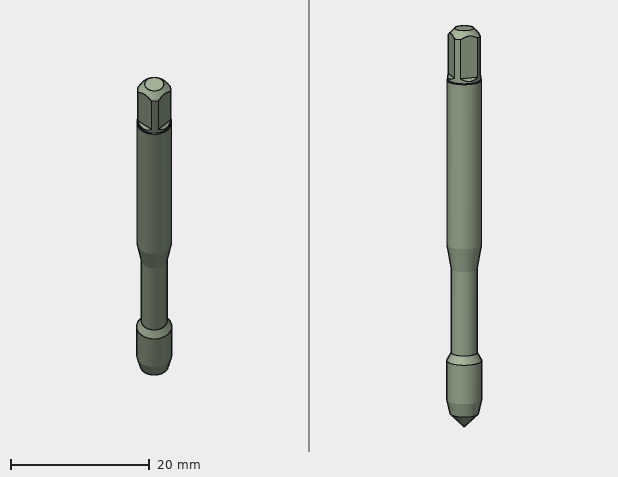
import cadquery as cq

total_length = 59.8

head_diameter = 5.1
point_diameter = 4.1
point_height = point_diameter / 2
lead_top = 4.1
head_top = 10.0

shoulder_top = 11.2
neck_diameter = 3.75
neck_top = 23.75
shank_diameter = 5.0
shank_bottom = 27.3
shank_top = 52.0

drive_diameter = 4.8
drive_bottom = 52.15
across_flats = 4.0
flat_bottom = 52.85
runout_bottom = 52.45
end_diameter = 2.75
end_chamfer_height = 1.1
flat_angles = (0, 90, 180, 270)


def revolve_profile(points):
    """Turn a closed (radius, height) outline about the Z axis."""
    return cq.Workplane("XZ").polyline(points).close().revolve(360, (0, 0), (0, 1))


def make_head():
    """Point, lead taper and cylinder of the threaded head."""
    return revolve_profile([
        (0, 0),
        (point_diameter / 2, point_height),
        (head_diameter / 2, lead_top),
        (head_diameter / 2, head_top),
        (0, head_top),
    ])


def make_turned_shank():
    """Shoulder cone, neck, taper, shank and the round blank of the drive."""
    return revolve_profile([
        (0, head_top),
        (head_diameter / 2, head_top),
        (neck_diameter / 2, shoulder_top),
        (neck_diameter / 2, neck_top),
        (shank_diameter / 2, shank_bottom),
        (shank_diameter / 2, shank_top),
        (drive_diameter / 2, drive_bottom),
        (drive_diameter / 2, total_length - end_chamfer_height),
        (end_diameter / 2, total_length),
        (0, total_length),
    ])


def make_flat_cutter():
    """Material beyond the +X flat, with a sloping run-out at its lower end."""
    flat_distance = across_flats / 2
    drive_radius = drive_diameter / 2
    outside = drive_diameter
    return (
        cq.Workplane("XZ")
        .polyline([
            (flat_distance, total_length),
            (flat_distance, flat_bottom),
            (drive_radius, runout_bottom),
            (outside, runout_bottom),
            (outside, total_length),
        ])
        .close()
        .extrude(drive_radius, both=True)
    )


def make_shank():
    """Turned shank with four flats cut on its upper end."""
    shank = make_turned_shank()
    cutter = make_flat_cutter()
    for angle in flat_angles:
        shank = shank.cut(cutter.rotate((0, 0, 0), (0, 0, 1), angle))
    return shank


head = make_head()
shank = make_shank()

result = cq.Compound.makeCompound([head.val(), shank.val()])